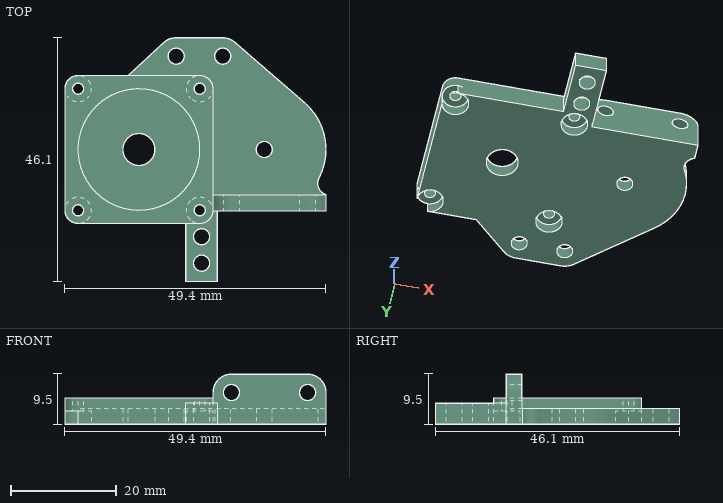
import cadquery as cq
import math

total_width = 49.4
total_depth = 46.14

mount_side = 28.0
mount_height = 5.0
mount_corner_radius = 2.5
mount_half = mount_side / 2
motor_pocket_diameter = 23.0
motor_pocket_depth = 2.0
shaft_hole_diameter = 6.0
motor_screw_diameter = 2.05
screw_head_diameter = 2 * mount_corner_radius
screw_head_depth = 2.5
motor_screw_spacing = mount_side - 2 * mount_corner_radius

plate_thickness = 3.0
plate_right = total_width - mount_half
bolt_diameter = 3.0
plate_ear_radius = 3.5
ear_y = 17.65
left_ear = (7.05, ear_y)
right_ear = (15.85, ear_y)
plate_left = -2.03
pivot = (23.7, 0.0)
pivot_radius = plate_right - pivot[0]
relief_radius = 2.25

flange_thickness = 3.0
flange_height = 9.5
flange_front = -11.65
flange_back = flange_front + flange_thickness
flange_corner_radius = 3.5
flange_length = plate_right - mount_half

arm_width = 6.0
arm_height = 4.0
arm_x = 11.85
arm_front = ear_y + plate_ear_radius - total_depth
arm_length = flange_back - arm_front
arm_hole_end_gap = 3.5
arm_hole_pitch = 5.0
arm_hole_count = 2


def polar(center, radius, angle):
    """Point on a circle at the given angle in radians."""
    return (center[0] + radius * math.cos(angle), center[1] + radius * math.sin(angle))


def arc_to(outline, center, radius, start, end):
    """Continue an outline along a circle from the start angle to the end angle."""
    return outline.threePointArc(polar(center, radius, (start + end) / 2), polar(center, radius, end))


def make_plate():
    """Flat plate with two ears at the back and a large arc around the pivot."""
    straight_up = math.pi / 2

    dx = plate_left - left_ear[0]
    dy = mount_half - left_ear[1]
    left_normal = math.atan2(dy, dx) - math.acos(plate_ear_radius / math.hypot(dx, dy))
    left_normal %= 2 * math.pi

    dx = right_ear[0] - pivot[0]
    dy = right_ear[1] - pivot[1]
    right_normal = math.atan2(dy, dx) - math.acos((pivot_radius - plate_ear_radius) / math.hypot(dx, dy))

    relief_y = flange_back + relief_radius
    center_distance = pivot_radius + relief_radius
    blend_angle = math.asin((relief_y - pivot[1]) / center_distance)
    relief_center = polar(pivot, center_distance, blend_angle)
    relief_start_angle = blend_angle + math.pi
    relief_end_angle = 2 * math.pi - math.acos((plate_right - relief_center[0]) / relief_radius)

    outline = cq.Workplane("XY").moveTo(plate_left, mount_half)
    outline = outline.lineTo(*polar(left_ear, plate_ear_radius, left_normal))
    outline = arc_to(outline, left_ear, plate_ear_radius, left_normal, straight_up)
    outline = outline.lineTo(*polar(right_ear, plate_ear_radius, straight_up))
    outline = arc_to(outline, right_ear, plate_ear_radius, straight_up, right_normal)
    outline = outline.lineTo(*polar(pivot, pivot_radius, right_normal))
    outline = arc_to(outline, pivot, pivot_radius, right_normal, blend_angle)
    outline = arc_to(outline, relief_center, relief_radius, relief_start_angle, relief_end_angle)
    outline = outline.lineTo(plate_right, flange_front).lineTo(plate_left, flange_front).close()
    plate = outline.extrude(plate_thickness)
    return plate.cut(vertical_holes([left_ear, right_ear, pivot], bolt_diameter, plate_thickness))


def vertical_holes(points, diameter, depth):
    """Cylinders rising from the underside, used as cutters."""
    return cq.Workplane("XY").pushPoints(points).circle(diameter / 2).extrude(depth)


def make_mount():
    """Rounded square block that carries the motor."""
    block = cq.Workplane("XY").rect(mount_side, mount_side).extrude(mount_height)
    return block.edges("|Z").fillet(mount_corner_radius)


def make_flange():
    """Upright flange with rounded top corners and two cross holes."""
    flange = cq.Workplane("XY").box(flange_length, flange_thickness, flange_height, centered=False)
    flange = flange.translate((mount_half, flange_front, 0))
    flange = flange.edges("|Y and >Z").fillet(flange_corner_radius)
    hole_z = flange_height - flange_corner_radius
    hole_points = [
        (mount_half + flange_corner_radius, hole_z),
        (plate_right - flange_corner_radius, hole_z),
    ]
    holes = cq.Workplane("XZ", origin=(0, flange_back, 0)).pushPoints(hole_points)
    return flange.cut(holes.circle(bolt_diameter / 2).extrude(flange_thickness))


def make_arm():
    """Straight arm reaching forward, with two bolt holes."""
    arm = cq.Workplane("XY").box(arm_width, arm_length, arm_height, centered=False)
    arm = arm.translate((arm_x - arm_width / 2, arm_front, 0))
    first_hole_y = arm_front + arm_hole_end_gap
    hole_points = [(arm_x, first_hole_y + i * arm_hole_pitch) for i in range(arm_hole_count)]
    return arm.cut(vertical_holes(hole_points, bolt_diameter, arm_height))


def cut_motor_features(body):
    """Motor pocket, shaft hole and the four screws with heads recessed from below."""
    pocket = cq.Workplane("XY", origin=(0, 0, mount_height - motor_pocket_depth))
    pocket = pocket.circle(motor_pocket_diameter / 2).extrude(motor_pocket_depth)
    body = body.cut(pocket)
    body = body.cut(vertical_holes([(0, 0)], shaft_hole_diameter, mount_height))
    half_spacing = motor_screw_spacing / 2
    screw_points = [(x, y) for x in (-half_spacing, half_spacing) for y in (-half_spacing, half_spacing)]
    body = body.cut(vertical_holes(screw_points, motor_screw_diameter, mount_height))
    return body.cut(vertical_holes(screw_points, screw_head_diameter, screw_head_depth))


body = make_mount().union(make_plate()).union(make_flange()).union(make_arm())
result = cut_motor_features(body)